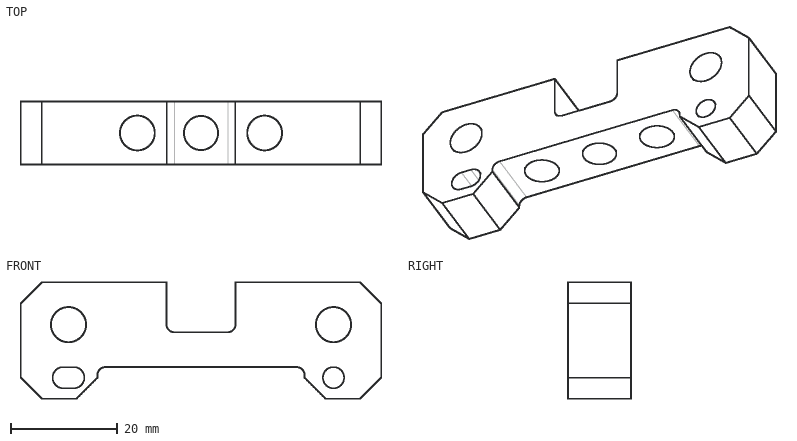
import cadquery as cq
import math

LENGTH = 68.0
THICKNESS = 12.0
HEIGHT = 22.0
CORNER_CHAMFER = 4.0
FILLET_RADIUS = 1.5

NOTCH_WIDTH = 13.0
NOTCH_DEPTH = 9.45
RELIEF_WIDTH = 39.0
RELIEF_HEIGHT = 6.0

MOUNT_DIAMETER = 6.6
MOUNT_SPACING = 50.0
MOUNT_HEIGHT = 14.0

OUTER_DIAMETER = 6.5
OUTER_SPACING = 24.0
CENTER_DIAMETER = 6.4

DOWEL_DIAMETER = 4.0
DOWEL_HEIGHT = 4.0
DOWEL_DEPTH = 6.0
DRILL_POINT_ANGLE = 118.0
SLOT_LENGTH = 6.0


def make_body():
    """Chamfered block with the top notch and the bottom relief, centred in X and Y."""
    body = (
        cq.Workplane("XY")
        .box(LENGTH, THICKNESS, HEIGHT, centered=(True, True, False))
        .edges("|Y")
        .chamfer(CORNER_CHAMFER)
    )
    notch = (
        cq.Workplane("XY", origin=(0, 0, HEIGHT - NOTCH_DEPTH))
        .box(NOTCH_WIDTH, THICKNESS, NOTCH_DEPTH, centered=(True, True, False))
        .edges("|Y and <Z")
        .fillet(FILLET_RADIUS)
    )
    relief = (
        cq.Workplane("XY")
        .box(RELIEF_WIDTH, THICKNESS, RELIEF_HEIGHT, centered=(True, True, False))
        .edges("|Y and >Z")
        .fillet(FILLET_RADIUS)
    )
    half_relief = RELIEF_WIDTH / 2
    flanks = (
        cq.Workplane("XZ")
        .moveTo(-half_relief - CORNER_CHAMFER, 0)
        .lineTo(half_relief + CORNER_CHAMFER, 0)
        .lineTo(half_relief, CORNER_CHAMFER)
        .lineTo(-half_relief, CORNER_CHAMFER)
        .close()
        .extrude(THICKNESS / 2, both=True)
    )
    return body.cut(notch).cut(relief).cut(flanks)


def mounting_holes():
    return (
        cq.Workplane("XZ")
        .pushPoints([(side * MOUNT_SPACING / 2, MOUNT_HEIGHT) for side in (-1, 1)])
        .circle(MOUNT_DIAMETER / 2)
        .extrude(THICKNESS / 2, both=True)
    )


def vertical_holes():
    outer = (
        cq.Workplane("XY")
        .pushPoints([(side * OUTER_SPACING / 2, 0) for side in (-1, 1)])
        .circle(OUTER_DIAMETER / 2)
        .extrude(HEIGHT)
    )
    center = cq.Workplane("XY").circle(CENTER_DIAMETER / 2).extrude(HEIGHT)
    return outer.union(center)


def dowel_hole():
    """Blind drilled hole with a conical end, opening on the -Y face."""
    radius = DOWEL_DIAMETER / 2
    tip_length = radius / math.tan(math.radians(DRILL_POINT_ANGLE / 2))
    return (
        cq.Workplane("XY")
        .polyline([(0, 0), (radius, 0), (radius, DOWEL_DEPTH), (0, DOWEL_DEPTH + tip_length)])
        .close()
        .revolve(360, (0, 0), (0, 1))
        .translate((MOUNT_SPACING / 2, -THICKNESS / 2, DOWEL_HEIGHT))
    )


def dowel_slot():
    """Blind flat-bottomed slot, opening on the -Y face."""
    return (
        cq.Workplane("XZ", origin=(-MOUNT_SPACING / 2, -THICKNESS / 2, DOWEL_HEIGHT))
        .slot2D(SLOT_LENGTH, DOWEL_DIAMETER)
        .extrude(-DOWEL_DEPTH)
    )


result = (
    make_body()
    .cut(mounting_holes())
    .cut(vertical_holes())
    .cut(dowel_hole())
    .cut(dowel_slot())
)